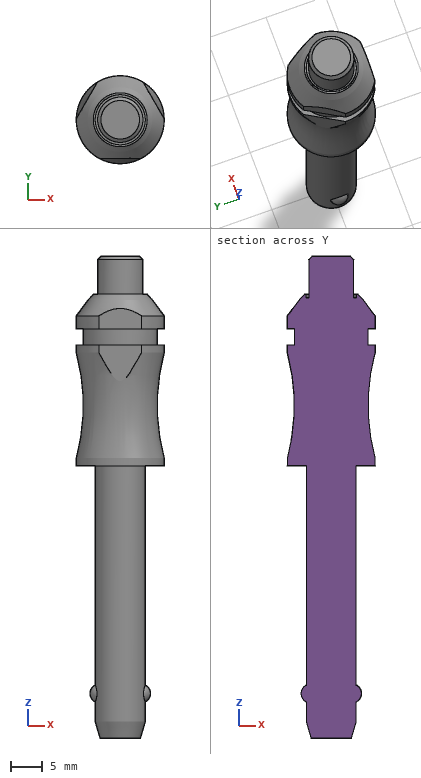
import cadquery as cq

TOTAL_LENGTH = 76.3

SHANK_RADIUS = 4.0
TIP_RADIUS = 3.2
TIP_LENGTH = 2.6

BALL_RADIUS = 1.5
BALL_REACH = 4.8
BALL_HEIGHT = 7.1

HANDLE_DIAMETER = 14.0
HANDLE_RADIUS = HANDLE_DIAMETER / 2
WAIST_RADIUS = 5.9
HANDLE_BOTTOM = 43.1
HANDLE_TOP = 62.25
RIM_HEIGHT = 1.2
WAIST_HEIGHT = (HANDLE_BOTTOM + HANDLE_TOP) / 2

NECK_RADIUS = WAIST_RADIUS
COLLAR_BOTTOM = 64.8
COLLAR_SHOULDER = 66.85
CONE_TOP_RADIUS = 5.1
CONE_TOP = 69.35
COLLAR_TOP_RADIUS = 4.3
COLLAR_TOP = 70.3

BUTTON_RADIUS = 3.6
BUTTON_CHAMFER = 0.5
BUTTON_GAP_RADIUS = 4.0
BUTTON_GAP_DEPTH = 0.5

FLAT_COUNT = 3
FLAT_DISTANCE = 6.1
FIRST_FLAT_ANGLE = -90.0
FLAT_BOTTOM = WAIST_HEIGHT


def make_body():
    """Shank, handle, collar and button as one turned profile."""
    gap_bottom = COLLAR_TOP - BUTTON_GAP_DEPTH
    return (
        cq.Workplane("XZ")
        .moveTo(0, 0)
        .lineTo(TIP_RADIUS, 0)
        .lineTo(SHANK_RADIUS, TIP_LENGTH)
        .lineTo(SHANK_RADIUS, HANDLE_BOTTOM)
        .lineTo(HANDLE_RADIUS, HANDLE_BOTTOM)
        .lineTo(HANDLE_RADIUS, HANDLE_BOTTOM + RIM_HEIGHT)
        .threePointArc((WAIST_RADIUS, WAIST_HEIGHT), (HANDLE_RADIUS, HANDLE_TOP - RIM_HEIGHT))
        .lineTo(HANDLE_RADIUS, HANDLE_TOP)
        .lineTo(NECK_RADIUS, HANDLE_TOP)
        .lineTo(NECK_RADIUS, COLLAR_BOTTOM)
        .lineTo(HANDLE_RADIUS, COLLAR_BOTTOM)
        .lineTo(HANDLE_RADIUS, COLLAR_SHOULDER)
        .lineTo(CONE_TOP_RADIUS, CONE_TOP)
        .lineTo(COLLAR_TOP_RADIUS, COLLAR_TOP)
        .lineTo(BUTTON_GAP_RADIUS, COLLAR_TOP)
        .lineTo(BUTTON_GAP_RADIUS, gap_bottom)
        .lineTo(BUTTON_RADIUS, gap_bottom)
        .lineTo(BUTTON_RADIUS, TOTAL_LENGTH - BUTTON_CHAMFER)
        .lineTo(BUTTON_RADIUS - BUTTON_CHAMFER, TOTAL_LENGTH)
        .lineTo(0, TOTAL_LENGTH)
        .close()
        .revolve(360, (0, 0, 0), (0, 1, 0))
    )


def cut_flats(body):
    """Plane equal flats across the collar and the upper half of the handle."""
    cutter_height = COLLAR_TOP - FLAT_BOTTOM
    cutter = cq.Workplane("XY").box(
        HANDLE_RADIUS, 2 * HANDLE_RADIUS, cutter_height, centered=(False, True, False)
    ).translate((FLAT_DISTANCE, 0, FLAT_BOTTOM))
    for index in range(FLAT_COUNT):
        angle = FIRST_FLAT_ANGLE + index * 360 / FLAT_COUNT
        body = body.cut(cutter.rotate((0, 0, 0), (0, 0, 1), angle))
    return body


def add_balls(body):
    """Seat a locking ball on each side of the shank along X."""
    for side in (-1, 1):
        centre = (side * (BALL_REACH - BALL_RADIUS), 0, BALL_HEIGHT)
        body = body.union(cq.Workplane("XY").sphere(BALL_RADIUS).translate(centre))
    return body


result = add_balls(cut_flats(make_body()))